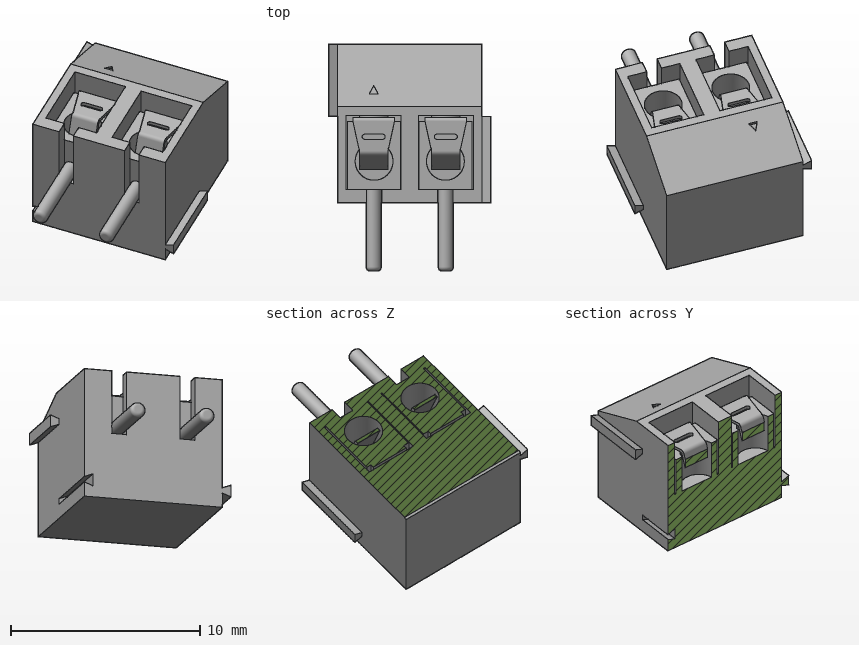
import cadquery as cq
import math


pitch = 3.81
width = 2 * pitch
depth = 8.4
height = 7.0
flat_top_depth = 5.1
rear_height = 5.72

pocket_width = 2.91
pocket_front = 0.71
pocket_rear = 4.62
floor_z = 3.56
slot_width = 0.82

clamp_pitch = 3.77
clamp_width = 2.79
clamp_top = 5.82
clamp_rear = 4.31
wire_hole_radius = 1.0
wire_hole_y = 2.2

tab_thickness = 0.2
tab_top = 5.98
tab_rear_width = 2.2
tab_front_width = 1.5
tab_bend_y = 2.73
tab_bend_radius = 0.25
tab_leg_angle = 70.0
tab_leg_end_y = 1.76
tab_slot_length = 1.22
tab_slot_width = 0.27
tab_slot_y = 3.5

pin_radius = 0.4
pin_length = 3.6
pin_tip_fillet = 0.2
pin_z = floor_z + pin_radius
screw_radius = 0.75

rail_projection = 0.48
rail_tip_height = 0.65
rail_root_height = 0.3
groove_depth = 0.47
joint_y = 4.58
upper_rail_z = 5.31
lower_rail_z = 0.93

mark_width = 0.47
mark_length = 0.43
mark_base_y = 5.77
mark_depth = 0.12


def box(x_size, x_center, y_min, y_max, z_min, z_max):
    """Axis-aligned box, given by its X size and centre and by its Y and Z limits."""
    solid = cq.Workplane("XY").box(x_size, y_max - y_min, z_max - z_min, centered=(True, False, False))
    return solid.translate((x_center, y_min, z_min))


def y_cylinder(radius, x, z, y_min, y_max):
    """Cylinder along Y."""
    return cq.Workplane("XZ", origin=(x, y_max, z)).circle(radius).extrude(y_max - y_min)


def dovetail(x_root, x_tip, z_center, y_min, y_max):
    """Dovetail bar along Y, narrow at its root and wide at its tip."""
    half_root = rail_root_height / 2
    half_tip = rail_tip_height / 2
    outline = [
        (x_root, z_center - half_root),
        (x_tip, z_center - half_tip),
        (x_tip, z_center + half_tip),
        (x_root, z_center + half_root),
    ]
    return cq.Workplane("XZ", origin=(0, y_max, 0)).polyline(outline).close().extrude(y_max - y_min)


def make_housing():
    """Housing block with its sloping rear top, dovetail rails and groove."""
    side = [(0, 0), (depth, 0), (depth, rear_height), (flat_top_depth, height), (0, height)]
    housing = cq.Workplane("YZ", origin=(-width / 2, 0, 0)).polyline(side).close().extrude(width)
    left = -width / 2
    right = width / 2
    housing = housing.union(dovetail(left, left - rail_projection, upper_rail_z, joint_y, depth))
    housing = housing.union(dovetail(right, right + rail_projection, lower_rail_z, 0, joint_y))
    return housing.cut(dovetail(left, left + groove_depth, lower_rail_z, 0, joint_y))


def make_mark():
    """Triangular prism that sinks the pole-one mark into the sloping top."""
    tip_y = mark_base_y + mark_length
    x = -pitch / 2
    triangle = [(x - mark_width / 2, mark_base_y), (x + mark_width / 2, mark_base_y), (x, tip_y)]
    prism = cq.Workplane("XY").polyline(triangle).close().extrude(height)
    layer_side = [
        (flat_top_depth, height - mark_depth),
        (depth, rear_height - mark_depth),
        (depth, height),
        (flat_top_depth, height),
    ]
    layer = cq.Workplane("YZ", origin=(-width / 2, 0, 0)).polyline(layer_side).close().extrude(width)
    return prism.intersect(layer)


def make_clamp(x):
    """Clamp block with its wire hole."""
    block = box(clamp_width, x, pocket_front, clamp_rear, floor_z, clamp_top)
    hole = cq.Workplane("XY", origin=(x, wire_hole_y, floor_z)).circle(wire_hole_radius).extrude(height)
    return block.cut(hole)


def make_tab(x):
    """Tapered spring tab: hooked over the clamp's rear edge, its front leg bent into the wire hole."""
    angle = math.radians(tab_leg_angle)
    r = tab_bend_radius
    t = tab_thickness
    center_z = tab_top - r

    def bend_point(radius, turn):
        """Point (Y, Z) on the front bend after turning down from horizontal."""
        return (tab_bend_y - radius * math.sin(turn), center_z + radius * math.cos(turn))

    outer_end = bend_point(r, angle)
    inner_end = bend_point(r - t, angle)
    drop = (outer_end[0] - tab_leg_end_y) * math.tan(angle)
    leg_end = (tab_leg_end_y, outer_end[1] - drop)
    leg_inner_end = (leg_end[0] + t * math.sin(angle), leg_end[1] - t * math.cos(angle))
    rear = clamp_rear + t
    corner = 1 - math.sqrt(0.5)
    profile = (
        cq.Workplane("YZ", origin=(x - tab_rear_width / 2, 0, 0))
        .moveTo(*leg_end)
        .lineTo(*outer_end)
        .threePointArc(bend_point(r, angle / 2), (tab_bend_y, tab_top))
        .lineTo(clamp_rear, tab_top)
        .threePointArc((rear - t * corner, tab_top - t * corner), (rear, tab_top - t))
        .lineTo(rear, floor_z)
        .lineTo(clamp_rear, floor_z)
        .lineTo(clamp_rear, tab_top - t)
        .lineTo(tab_bend_y, tab_top - t)
        .threePointArc(bend_point(r - t, angle / 2), inner_end)
        .lineTo(*leg_inner_end)
        .close()
        .extrude(tab_rear_width)
    )
    half_rear = tab_rear_width / 2
    half_front = tab_front_width / 2
    plan = [
        (x - half_front, 0),
        (x - half_front, tab_bend_y),
        (x - half_rear, clamp_rear),
        (x - half_rear, pocket_rear),
        (x + half_rear, pocket_rear),
        (x + half_rear, clamp_rear),
        (x + half_front, tab_bend_y),
        (x + half_front, 0),
    ]
    return profile.intersect(cq.Workplane("XY").polyline(plan).close().extrude(height))


def make_tab_slot(x):
    """Round-ended slot through the tab."""
    plane = cq.Workplane("XY", origin=(x, tab_slot_y, tab_top - tab_thickness))
    return plane.slot2D(tab_slot_length, tab_slot_width).extrude(tab_thickness)


def make_pin(x):
    """Solder pin with a rounded tip."""
    pin = y_cylinder(pin_radius, x, pin_z, -pin_length, pocket_front)
    return pin.faces("<Y").edges().fillet(pin_tip_fillet)


result = make_housing().cut(make_mark())
for pole_side in (-1, 1):
    pole_x = pole_side * pitch / 2
    clamp_x = pole_side * clamp_pitch / 2
    result = result.cut(box(pocket_width, pole_x, pocket_front, pocket_rear, floor_z, height))
    result = result.cut(box(slot_width, clamp_x, 0, pocket_front, floor_z, height))
    result = result.union(make_clamp(clamp_x))
    result = result.union(make_tab(pole_x)).cut(make_tab_slot(pole_x))
    result = result.union(make_pin(pole_x))
    result = result.union(y_cylinder(screw_radius, pole_x, pin_z, clamp_rear, pocket_rear))